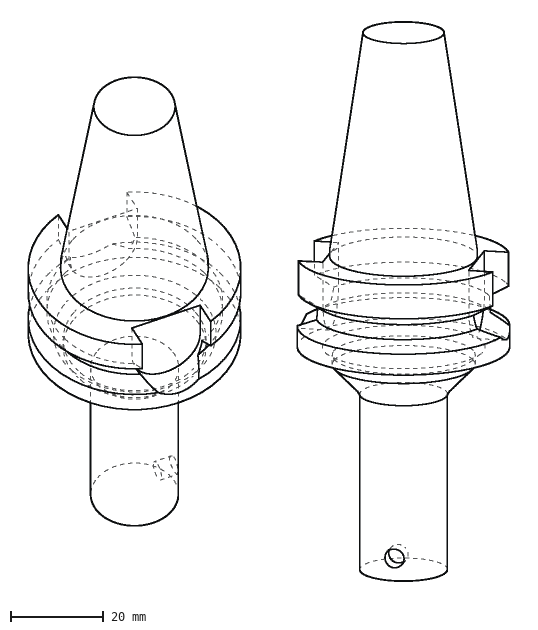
import cadquery as cq

total_length = 120.4

taper_small_diameter = 17.6
taper_large_diameter = 31.9
flange_diameter = 46.0
groove_diameter = 38.0
flange_hub_diameter = 35.2
collar_diameter = 31.0
shoulder_diameter = 20.2
shank_diameter = 19.0

taper_length = 48.6
neck_length = 1.6
upper_ring_height = 7.6
upper_groove_slope_height = 2.4
groove_floor_height = 3.4
lower_groove_slope_height = 2.2
lower_ring_height = 4.7
hub_slope_height = 1.8
collar_height = 2.2
collar_slope_height = 5.5
shoulder_height = 1.1

slot_width = 16.3
slot_depth_down = 17.1
slot_floor_radius = 16.1

screw_hole_diameter = 4.2
screw_hole_level = 5.0
screw_hole_depth = 4.1

taper_base = total_length - taper_length
flange_top = taper_base - neck_length
upper_ring_bottom = flange_top - upper_ring_height
groove_top = upper_ring_bottom - upper_groove_slope_height
groove_bottom = groove_top - groove_floor_height
lower_ring_top = groove_bottom - lower_groove_slope_height
flange_bottom = lower_ring_top - lower_ring_height
collar_top = flange_bottom - hub_slope_height
collar_bottom = collar_top - collar_height
shoulder_top = collar_bottom - collar_slope_height
shank_top = shoulder_top - shoulder_height


def turned_body():
    """Revolve the half profile, given as (diameter, level) from top to bottom."""
    profile = [
        (taper_small_diameter, total_length),
        (taper_large_diameter, taper_base),
        (taper_large_diameter, flange_top),
        (flange_diameter, flange_top),
        (flange_diameter, upper_ring_bottom),
        (groove_diameter, groove_top),
        (groove_diameter, groove_bottom),
        (flange_diameter, lower_ring_top),
        (flange_diameter, flange_bottom),
        (flange_hub_diameter, flange_bottom),
        (collar_diameter, collar_top),
        (collar_diameter, collar_bottom),
        (shoulder_diameter, shoulder_top),
        (shank_diameter, shank_top),
        (shank_diameter, 0),
    ]
    points = [(diameter / 2, level) for diameter, level in profile]
    outline = [(0, 0), (0, total_length)] + points
    return cq.Workplane("XZ").polyline(outline).close().revolve(360, (0, 0), (0, 1))


def drive_slot(side):
    """Round-bottomed slot cutter, open at the flange top; side is -1 or +1 along X."""
    half_width = slot_width / 2
    slot_bottom = flange_top - slot_depth_down
    arc_level = slot_bottom + half_width
    return (
        cq.Workplane("YZ", origin=(side * slot_floor_radius, 0, 0))
        .moveTo(-half_width, flange_top)
        .lineTo(-half_width, arc_level)
        .threePointArc((0, slot_bottom), (half_width, arc_level))
        .lineTo(half_width, flange_top)
        .close()
        .extrude(side * flange_diameter / 2)
    )


def screw_hole():
    """Blind radial hole cutter, entering the shank from +Y."""
    shank_radius = shank_diameter / 2
    return (
        cq.Workplane("XZ", origin=(0, shank_radius, 0))
        .center(0, screw_hole_level)
        .circle(screw_hole_diameter / 2)
        .extrude(screw_hole_depth)
    )


result = turned_body()
for side in (-1, 1):
    result = result.cut(drive_slot(side))
result = result.cut(screw_hole())